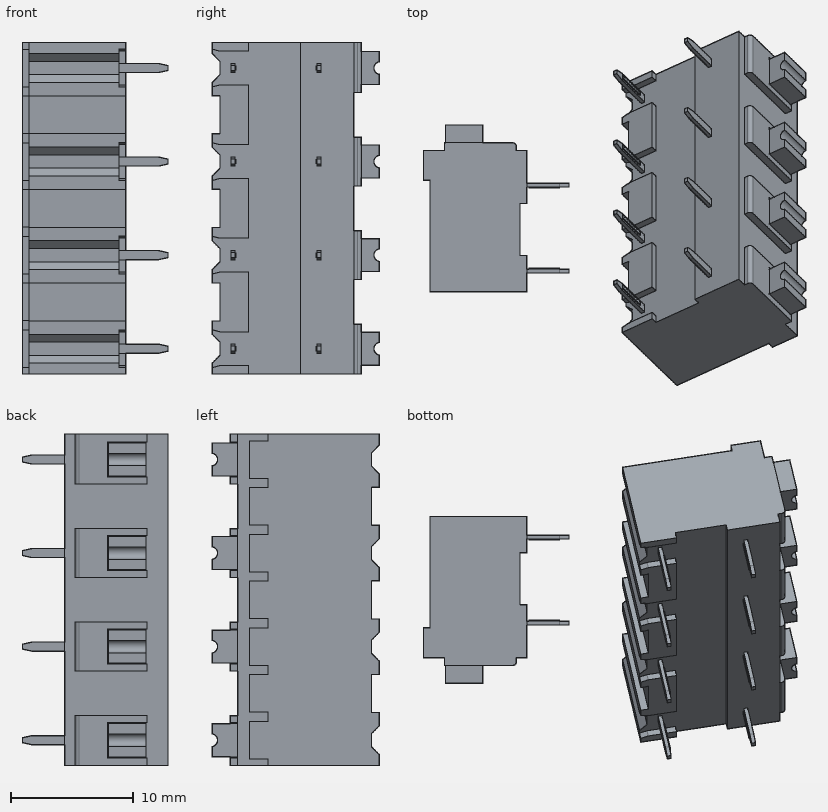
import cadquery as cq

pole_count = 4
height = 27.05
pole_pitch = 7.63
end_margin = (height - (pole_count - 1) * pole_pitch) / 2
pole_centres = [end_margin + i * pole_pitch for i in range(pole_count)]
gap_centres = [z + pole_pitch / 2 for z in pole_centres[:-1]]

rail_depth = 0.55
housing_right = 8.45
housing_top = 11.55
side_channel_depth = 0.55
side_channel_bottom = 2.98
side_channel_top = 7.2

rail_bottom = 10.6
tooth_bottom = 9.1
window_height = 3.05

relief_depth = 0.62
relief_height = 3.08
groove_mouth = 2.35
groove_floor = 1.08

pocket_height = 3.08
pocket_taper = 0.15

block_left = 1.73
block_right = 7.6
block_top = 12.18
block_height = 4.0
block_round = 0.32

lever_left = 1.8
lever_right = 4.87
lever_top = 13.65
lever_height = 2.7
lever_notch_radius = 0.51
lever_notch_depth = 0.43
lever_clearance = 0.08

pin_tip = 11.9
pin_width = 0.75
pin_thickness = 0.32
pin_tip_length = 0.78
pin_tip_width = 0.4
front_pin_y = 1.7
back_pin_y = 8.7
bead_width = 0.35
bead_rise = 0.08
bead_setback = 0.15
bead_start = housing_right + bead_setback
bead_end = pin_tip - pin_tip_length


def box(x0, x1, y0, y1, z0, z1):
    """Box between two corners."""
    return cq.Workplane("XY").box(x1 - x0, y1 - y0, z1 - z0, centered=False).translate((x0, y0, z0))


def pole_box(x0, x1, y0, y1, z_centre, z_size):
    """Box centred on a height."""
    return box(x0, x1, y0, y1, z_centre - z_size / 2, z_centre + z_size / 2)


def prism_along_x(points, x0, x1):
    """Closed (Y, Z) outline extruded from x0 to x1."""
    return cq.Workplane("YZ").workplane(offset=x0).polyline(points).close().extrude(x1 - x0)


def make_housing():
    """Main body with its left rail and right side channel."""
    channel_x = housing_right - side_channel_depth
    outline = [
        (rail_depth, 0),
        (housing_right, 0),
        (housing_right, side_channel_bottom),
        (channel_x, side_channel_bottom),
        (channel_x, side_channel_top),
        (housing_right, side_channel_top),
        (housing_right, housing_top),
        (0, housing_top),
        (0, tooth_bottom),
        (rail_depth, tooth_bottom),
    ]
    housing = cq.Workplane("XY").polyline(outline).close().extrude(height)
    for z in pole_centres + gap_centres:
        housing = housing.cut(pole_box(0, rail_depth, tooth_bottom, rail_bottom, z, window_height))
    return housing


def make_groove(z):
    """V-shaped relief with a flat floor, across the front face."""
    outline = [
        (0, z - groove_mouth / 2),
        (relief_depth, z - groove_floor / 2),
        (relief_depth, z + groove_floor / 2),
        (0, z + groove_mouth / 2),
    ]
    return prism_along_x(outline, rail_depth, housing_right)


def make_pin_pocket(z):
    """Pocket in the right side, slightly flared where it opens to the front."""
    mouth = pocket_height / 2
    inner = mouth - pocket_taper
    outline = [
        (0, z - mouth),
        (relief_depth, z - inner),
        (side_channel_bottom, z - inner),
        (side_channel_bottom, z + inner),
        (relief_depth, z + inner),
        (0, z + mouth),
    ]
    return prism_along_x(outline, housing_right - side_channel_depth, housing_right)


def make_block(z):
    """Raised back block with a lever slot; end blocks run flush to the housing ends."""
    z0 = z - block_height / 2
    z1 = z + block_height / 2
    if z == pole_centres[0]:
        z0 = 0
    if z == pole_centres[-1]:
        z1 = height
    block = box(block_left, block_right, housing_top, block_top, z0, z1)
    block = block.edges("|Z and >X and >Y").fillet(block_round)
    slot_height = lever_height + 2 * lever_clearance
    slot_right = lever_right + lever_clearance
    return block.cut(pole_box(block_left, slot_right, housing_top, block_top, z, slot_height))


def make_lever(z):
    """Lever with a rounded notch across its outer face."""
    lever = pole_box(lever_left, lever_right, housing_top, lever_top, z, lever_height)
    notch_centre_y = lever_top + lever_notch_radius - lever_notch_depth
    notch = (
        cq.Workplane("YZ")
        .workplane(offset=lever_left)
        .center(notch_centre_y, z)
        .circle(lever_notch_radius)
        .extrude(lever_right - lever_left)
    )
    return lever.cut(notch)


def make_pin(y, z, bead_side):
    """Flat pin with a tapered tip and a bead on the face toward bead_side (+1 or -1 in Y)."""
    root_x = housing_right - side_channel_depth
    shoulder_x = pin_tip - pin_tip_length
    outline = [
        (root_x, z - pin_width / 2),
        (shoulder_x, z - pin_width / 2),
        (pin_tip, z - pin_tip_width / 2),
        (pin_tip, z + pin_tip_width / 2),
        (shoulder_x, z + pin_width / 2),
        (root_x, z + pin_width / 2),
    ]
    pin = (
        cq.Workplane("XZ")
        .polyline(outline)
        .close()
        .extrude(pin_thickness / 2, both=True)
        .translate((0, y, 0))
    )
    bead_outer = y + bead_side * (pin_thickness / 2 + bead_rise)
    bead = pole_box(bead_start, bead_end, min(y, bead_outer), max(y, bead_outer), z, bead_width)
    return pin.union(bead)


result = make_housing()

for z in gap_centres:
    result = result.cut(pole_box(rail_depth, housing_right, 0, relief_depth, z, relief_height))

for z in pole_centres:
    result = result.cut(make_groove(z)).cut(make_pin_pocket(z))
    result = result.union(make_block(z)).union(make_lever(z))
    result = result.union(make_pin(front_pin_y, z, 1)).union(make_pin(back_pin_y, z, -1))